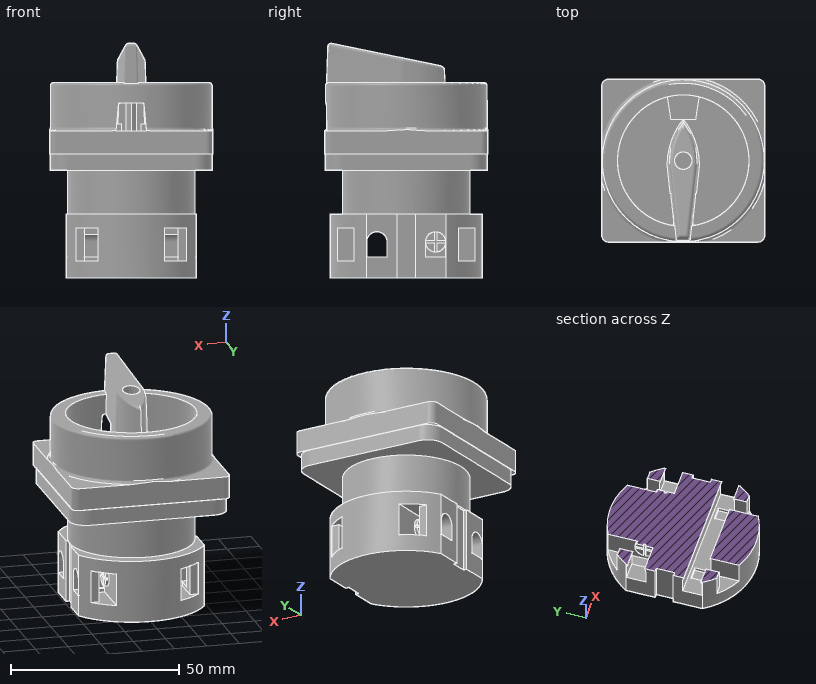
import cadquery as cq
import math

base_top = 19.0
neck_top = 32.0
lower_plate_top = 36.9
plate_top = 43.75
floor_level = 45.7
ring_top = 58.1
total_height = 69.8

base_radius = 22.7
base_flat_x = 19.3
groove_half_width = 2.8
groove_depth = 1.1

neck_radius = 19.0
lower_plate_width = 48.15
lower_plate_corner = 5.15
plate_width = 48.5
plate_corner = 2.1

ring_radius = 24.1
bore_radius = 19.55
ring_edge_fillet = 1.05
foot_fillet = 0.9

back_recess_inner_y = 12.3
back_recess_inner_half = 3.7
back_recess_outer_half = 4.8
channel_half_width = 2.9

window_bottom_half = 4.55
window_top_half = 3.8
window_top = 52.0
window_inner_y = -19.1
window_corner = 0.7

handle_half_width = 4.8
handle_wide_y = -1.4
handle_nose_y = 12.3
handle_tail_y = -24.15
handle_tail_half = 2.45
handle_draft = 2.0
handle_side_blend = 7.0
handle_tail_fillet = 0.4
handle_top_fillet = 1.05
handle_top_angle = 11.6
handle_peak_y = -22.2
handle_blank_height = 27.9
handle_overhang_level = ring_top - 0.3
handle_hole_radius = 2.6
lock_face_y = -9.8
lock_ridge_half = 1.55
lock_ridge_height = 2.9
lock_ridge_apex_x = 0.15

terminal_y = 8.7
terminal_half_width = 3.0
terminal_floor = 6.3
terminal_arch_z = 10.75
pocket_bottom = 5.1
pocket_top = 14.9
pocket_inner_x = 9.9
pocket_step_x = 13.95
pocket_outer_x = 16.5
pocket_step_y = 15.5
pocket_end_y = 6.6
screw_thickness = 1.05
screw_slot_width = 0.7
screw_slot_depth = 0.55


def box(x0, x1, y0, y1, z0, z1):
    """Axis-aligned block between two corners given in any order."""
    size = (abs(x1 - x0), abs(y1 - y0), abs(z1 - z0))
    centre = ((x0 + x1) / 2, (y0 + y1) / 2, (z0 + z1) / 2)
    return cq.Workplane("XY").box(*size).translate(centre)


def cylinder(radius, z0, z1):
    return cq.Workplane("XY").workplane(offset=z0).circle(radius).extrude(z1 - z0)


def rounded_plate(width, corner, z0, z1):
    return box(-width / 2, width / 2, -width / 2, width / 2, z0, z1).edges("|Z").fillet(corner)


def terminal_passage(y, x0, x1):
    """Arch-topped hole running along X."""
    return (
        cq.Workplane("YZ")
        .workplane(offset=x0)
        .moveTo(y - terminal_half_width, terminal_floor)
        .lineTo(y + terminal_half_width, terminal_floor)
        .lineTo(y + terminal_half_width, terminal_arch_z)
        .threePointArc(
            (y, terminal_arch_z + terminal_half_width),
            (y - terminal_half_width, terminal_arch_z),
        )
        .close()
        .extrude(x1 - x0)
    )


def side_pocket(side_x, side_y):
    """Stepped pocket that opens the curved wall towards a terminal passage."""
    shallow = box(
        side_x * pocket_inner_x, side_x * pocket_outer_x,
        side_y * pocket_step_y, side_y * base_radius,
        pocket_bottom, pocket_top,
    )
    deep = box(
        side_x * pocket_inner_x, side_x * pocket_step_x,
        side_y * pocket_end_y, side_y * base_radius,
        pocket_bottom, pocket_top,
    )
    return shallow.union(deep)


def screw_head(side):
    """Cross-slotted screw head on the end wall of a blind terminal."""
    face_x = side * (pocket_inner_x + screw_thickness)
    slot_end_x = face_x - side * screw_slot_depth
    head = (
        cq.Workplane("YZ")
        .workplane(offset=side * pocket_inner_x)
        .center(terminal_y, terminal_arch_z)
        .circle(terminal_half_width)
        .extrude(side * screw_thickness)
    )
    half_slot = screw_slot_width / 2
    for half_y, half_z in ((half_slot, terminal_half_width), (terminal_half_width, half_slot)):
        head = head.cut(box(
            slot_end_x, face_x,
            terminal_y - half_y, terminal_y + half_y,
            terminal_arch_z - half_z, terminal_arch_z + half_z,
        ))
    return head


def contact_block():
    """Round block with flat wiring sides, grooves, terminals and pockets."""
    flats = box(-base_flat_x, base_flat_x, -base_radius, base_radius, 0, base_top)
    block = cylinder(base_radius, 0, base_top).intersect(flats)
    block = block.cut(terminal_passage(-terminal_y, -base_flat_x, base_flat_x))
    for side in (-1, 1):
        block = block.cut(box(
            side * (base_flat_x - groove_depth), side * base_flat_x,
            -groove_half_width, groove_half_width, 0, base_top,
        ))
        block = block.cut(terminal_passage(terminal_y, side * pocket_inner_x, side * base_flat_x))
        for side_y in (-1, 1):
            block = block.cut(side_pocket(side, side_y))
        block = block.union(screw_head(side))
    return block


def lock_window():
    """Tapered opening from the bore out through the front of the ring and its foot."""
    return (
        cq.Workplane("XZ", origin=(0, window_inner_y, 0))
        .polyline([
            (-window_bottom_half, plate_top),
            (window_bottom_half, plate_top),
            (window_top_half, window_top),
            (-window_top_half, window_top),
        ])
        .close()
        .extrude(plate_width)
        .edges("|Y and >Z")
        .fillet(window_corner)
    )


def back_recess():
    """Tapered recess in the dial floor, widening towards the bore wall."""
    outline = (
        cq.Workplane("XY")
        .workplane(offset=plate_top)
        .polyline([
            (-back_recess_inner_half, back_recess_inner_y),
            (back_recess_inner_half, back_recess_inner_y),
            (back_recess_outer_half, bore_radius),
            (-back_recess_outer_half, bore_radius),
        ])
        .close()
        .extrude(floor_level - plate_top)
    )
    return outline.intersect(cylinder(bore_radius, plate_top, floor_level))


def collar():
    """Dial ring with a flared foot, a bore floor, and the lock openings."""
    foot_centre = (ring_radius + foot_fillet, plate_top + foot_fillet)
    foot_middle = foot_fillet * math.sqrt(0.5)
    ring = (
        cq.Workplane("XZ")
        .moveTo(0, plate_top)
        .lineTo(foot_centre[0], plate_top)
        .threePointArc(
            (foot_centre[0] - foot_middle, foot_centre[1] - foot_middle),
            (ring_radius, foot_centre[1]),
        )
        .lineTo(ring_radius, ring_top)
        .lineTo(0, ring_top)
        .close()
        .revolve(360, (0, 0, 0), (0, 1, 0))
        .faces(">Z")
        .edges()
        .fillet(ring_edge_fillet)
    )
    ring = ring.intersect(rounded_plate(plate_width, plate_corner, plate_top, ring_top))
    ring = ring.cut(cylinder(bore_radius, floor_level, ring_top))
    ring = ring.cut(lock_window()).cut(back_recess())
    return ring.cut(box(
        -channel_half_width, channel_half_width,
        -bore_radius, lock_face_y, plate_top, floor_level,
    ))


def nose_arc_middle():
    """Middle of the nose arc, which leaves the widest point parallel to Y."""
    length = handle_nose_y - handle_wide_y
    radius = (length**2 + handle_half_width**2) / (2 * handle_half_width)
    half_angle = math.asin(length / radius) / 2
    x = handle_half_width - radius * (1 - math.cos(half_angle))
    return x, handle_wide_y + radius * math.sin(half_angle)


def handle_top_z(y):
    """Height of the sloping top plane, highest at the tail."""
    return total_height - math.tan(math.radians(handle_top_angle)) * (y - handle_peak_y)


def handle():
    """Drafted grip with a sloping rounded top, cleared below for the lock window."""
    mid_x, mid_y = nose_arc_middle()
    body = (
        cq.Workplane("XY")
        .workplane(offset=floor_level)
        .moveTo(-handle_tail_half, handle_tail_y)
        .lineTo(handle_tail_half, handle_tail_y)
        .lineTo(handle_half_width, handle_wide_y)
        .threePointArc((mid_x, mid_y), (0, handle_nose_y))
        .threePointArc((-mid_x, mid_y), (-handle_half_width, handle_wide_y))
        .close()
        .extrude(handle_blank_height, taper=handle_draft)
    )

    above = (
        cq.Workplane("YZ")
        .polyline([
            (-plate_width, handle_top_z(-plate_width)),
            (plate_width, handle_top_z(plate_width)),
            (plate_width, 2 * total_height),
            (-plate_width, 2 * total_height),
        ])
        .close()
        .extrude(plate_width, both=True)
    )
    body = body.cut(above)

    for side in (-1, 1):
        widest_edge = cq.NearestToPointSelector((side * handle_half_width, handle_wide_y, ring_top))
        body = body.edges(widest_edge).fillet(handle_side_blend)
        tail_edge = cq.NearestToPointSelector((side * handle_tail_half, handle_tail_y, ring_top))
        body = body.edges(tail_edge).fillet(handle_tail_fillet)
    top_face = cq.NearestToPointSelector((0, handle_wide_y, handle_top_z(handle_wide_y)))
    body = body.faces(top_face).edges().fillet(handle_top_fillet)

    reach = cylinder(bore_radius, floor_level, ring_top).union(
        cylinder(plate_width, handle_overhang_level, 2 * total_height)
    )
    body = body.intersect(reach)

    body = body.cut(cylinder(handle_hole_radius, ring_top, total_height))

    body = body.cut(box(
        -plate_width, plate_width, -plate_width, lock_face_y, 0, window_top,
    ))
    ridge = (
        cq.Workplane("XY")
        .workplane(offset=plate_top)
        .polyline([
            (-lock_ridge_half, lock_face_y),
            (lock_ridge_half, lock_face_y),
            (lock_ridge_apex_x, lock_face_y - lock_ridge_height),
        ])
        .close()
        .extrude(window_top - plate_top)
    )
    return body.union(ridge)


result = (
    contact_block()
    .union(cylinder(neck_radius, base_top, neck_top))
    .union(rounded_plate(lower_plate_width, lower_plate_corner, neck_top, lower_plate_top))
    .union(rounded_plate(plate_width, plate_corner, lower_plate_top, plate_top))
    .union(collar())
    .union(handle())
)